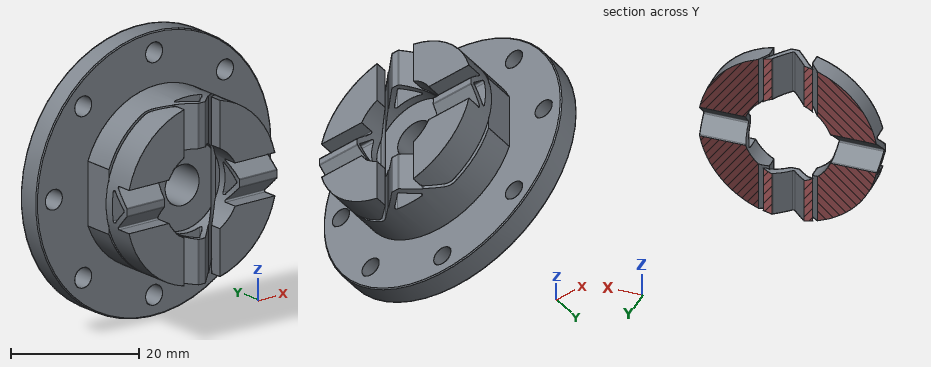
import cadquery as cq
import math


flange_radius = 23.5
flange_thickness = 4.0
flange_chamfer = 0.2
bolt_count = 8
bolt_circle_radius = 20.0
bolt_hole_radius = 1.7
center_hole_radius = 3.4

neck_radius = 7.0
neck_length = 1.0
neck_fillet = neck_length / 2

disc_radius = 15.0
disc_start = flange_thickness + neck_length
front_depth = 16.0
flat_distance = 14.0

pocket_radius = 7.5
pocket_depth = 11.0

gap_width = 0.5
slope_angle = math.radians(45)
hub_shoulder_depth = 10.25
hub_corner_x = 6.55
hub_blend_radius = 2.5
jaw_shoulder_depth = hub_shoulder_depth + gap_width
jaw_corner_x = hub_corner_x + gap_width * math.tan(slope_angle / 2)
jaw_blend_radius = hub_blend_radius - gap_width

slot_half_width = 3.55
ridge_tip_half_width = 0.65
ridge_wall = 0.9
ridge_hole_depth = 12.3
ridge_hole_fillet = 0.3
notch_fillet = 0.2
ridge_tip_fillet = 0.2

overlap = 0.45
span = 2 * (disc_radius + overlap)


def cylinder(radius, start_depth, end_depth):
    """Solid cylinder on the coupling axis between two depths."""
    plane = cq.Workplane("XZ", origin=(0, -start_depth, 0))
    return plane.circle(radius).extrude(end_depth - start_depth)


def make_flange():
    bolt_holes = (
        cq.Workplane("XZ")
        .polarArray(bolt_circle_radius, 0, 360, bolt_count)
        .circle(bolt_hole_radius)
        .extrude(flange_thickness)
    )
    flange = cylinder(flange_radius, 0, flange_thickness)
    return flange.edges().chamfer(flange_chamfer).cut(bolt_holes)


def make_neck():
    """Waisted neck whose two fillets meet at mid length."""
    end_radius = neck_radius + neck_fillet
    waist_depth = flange_thickness + neck_fillet
    arc_offset = neck_fillet * math.sin(math.radians(45))
    return (
        cq.Workplane("XY")
        .moveTo(0, -flange_thickness)
        .lineTo(end_radius, -flange_thickness)
        .threePointArc((end_radius - arc_offset, arc_offset - waist_depth), (neck_radius, -waist_depth))
        .threePointArc((end_radius - arc_offset, -arc_offset - waist_depth), (end_radius, -disc_start))
        .lineTo(0, -disc_start)
        .close()
        .revolve(360, (0, 0, 0), (0, 1, 0))
    )


def make_ridge_slot():
    """Cutter along Z: two notches beside a 45 degree ridge and the ridge's triangular hole."""
    ridge_apex = front_depth + ridge_tip_half_width
    end_depth = front_depth + overlap
    tip_reach = ridge_tip_fillet * math.tan(slope_angle / 2)
    tip_on_face = (ridge_tip_half_width - tip_reach, -front_depth)
    tip_on_slope = (
        ridge_tip_half_width + tip_reach * math.cos(slope_angle),
        -front_depth + tip_reach * math.sin(slope_angle),
    )
    tip_middle = (
        tip_on_face[0] + ridge_tip_fillet * math.sin(slope_angle / 2),
        -front_depth + ridge_tip_fillet * (1 - math.cos(slope_angle / 2)),
    )
    notch = (
        cq.Workplane("XY")
        .moveTo(slot_half_width, -(ridge_apex - slot_half_width))
        .lineTo(slot_half_width, -end_depth)
        .lineTo(tip_on_face[0], -end_depth)
        .lineTo(*tip_on_face)
        .threePointArc(tip_middle, tip_on_slope)
        .close()
        .extrude(span / 2, both=True)
        .edges("|Z and >Y")
        .fillet(notch_fillet)
    )
    hole_apex = ridge_apex - ridge_wall / math.sin(slope_angle)
    hole_half_width = hole_apex - ridge_hole_depth
    hole = (
        cq.Workplane("XY")
        .moveTo(-hole_half_width, -ridge_hole_depth)
        .lineTo(hole_half_width, -ridge_hole_depth)
        .lineTo(0, -hole_apex)
        .close()
        .extrude(span / 2, both=True)
        .edges("|Z")
        .fillet(ridge_hole_fillet)
    )
    return notch.union(notch.mirror("YZ")).union(hole)


def make_slotted_disc():
    slot = make_ridge_slot()
    crossing_slot = slot.rotate((0, 0, 0), (0, 1, 0), 90)
    pocket = cylinder(pocket_radius, pocket_depth, front_depth)
    return cylinder(disc_radius, disc_start, front_depth).cut(pocket).cut(slot).cut(crossing_slot)


def blend_points(corner_x, shoulder_depth, radius):
    """Tangent points of the shoulder blend: on the flat and on the slope."""
    reach = radius * math.tan(slope_angle / 2)
    on_flat = (corner_x + reach, -shoulder_depth)
    on_slope = (
        corner_x - reach * math.cos(slope_angle),
        -shoulder_depth - reach * math.sin(slope_angle),
    )
    return on_flat, on_slope


def make_hub(disc):
    """Flange, neck and the central wedge of the disc."""
    on_flat, on_slope = blend_points(hub_corner_x, hub_shoulder_depth, hub_blend_radius)
    slope_end_x = hub_corner_x + hub_shoulder_depth - front_depth
    outline = (
        cq.Workplane("XY")
        .moveTo(0, -disc_start)
        .lineTo(flat_distance, -disc_start)
        .lineTo(flat_distance, -hub_shoulder_depth)
        .lineTo(*on_flat)
        .tangentArcPoint(on_slope, relative=False)
        .lineTo(slope_end_x, -front_depth)
        .lineTo(0, -front_depth)
        .close()
        .extrude(span / 2, both=True)
    )
    wedge = disc.intersect(outline.union(outline.mirror("YZ")))
    center_hole = cylinder(center_hole_radius, 0, front_depth)
    return make_flange().union(make_neck()).union(wedge).cut(center_hole)


def make_jaw(disc, side):
    """Outer part of the disc beyond the gap, on the +X (side 1) or -X (side -1) half."""
    on_flat, on_slope = blend_points(jaw_corner_x, jaw_shoulder_depth, jaw_blend_radius)
    slope_end_depth = jaw_shoulder_depth + jaw_corner_x - slot_half_width
    outline = (
        cq.Workplane("XY")
        .moveTo(span / 2, -jaw_shoulder_depth)
        .lineTo(*on_flat)
        .tangentArcPoint(on_slope, relative=False)
        .lineTo(slot_half_width, -slope_end_depth)
        .lineTo(slot_half_width, -front_depth)
        .lineTo(span / 2, -front_depth)
        .close()
        .extrude(span / 2, both=True)
    )
    if side < 0:
        outline = outline.mirror("YZ")
    return disc.intersect(outline)


slotted_disc = make_slotted_disc()
hub = make_hub(slotted_disc)
jaws = [make_jaw(slotted_disc, side) for side in (-1, 1)]

result = cq.Compound.makeCompound([hub.solids().val(), *[jaw.solids().val() for jaw in jaws]])